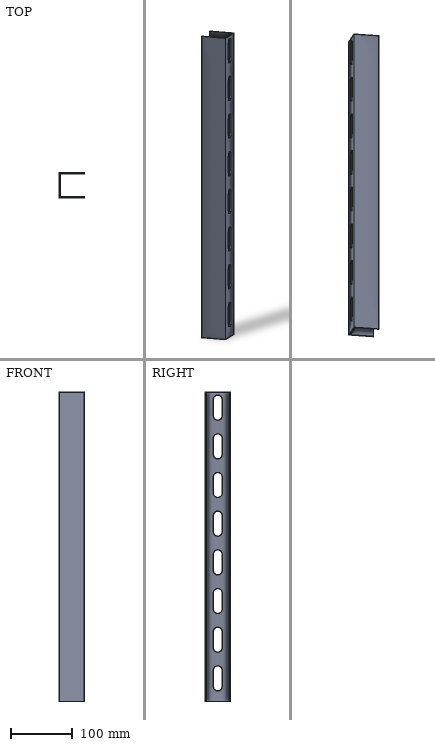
import cadquery as cq

length = 500.0
width = 41.0
depth = 41.0
wall = 2.5

slot_count = 8
slot_pitch = length / slot_count
slot_length = 40.0
slot_width = 14.0
top_slot_offset = 25.0


def make_channel():
    outer = cq.Workplane("XY").box(depth, width, length, centered=(False, True, False))
    cavity = (
        cq.Workplane("XY")
        .box(depth - wall, width - 2 * wall, length, centered=(False, True, False))
        .translate((wall, 0, 0))
    )
    return outer.cut(cavity)


def make_slots():
    centres = [(0, length - top_slot_offset - i * slot_pitch) for i in range(slot_count)]
    return (
        cq.Workplane("YZ")
        .pushPoints(centres)
        .slot2D(slot_length, slot_width, 90)
        .extrude(wall)
    )


result = make_channel().cut(make_slots())